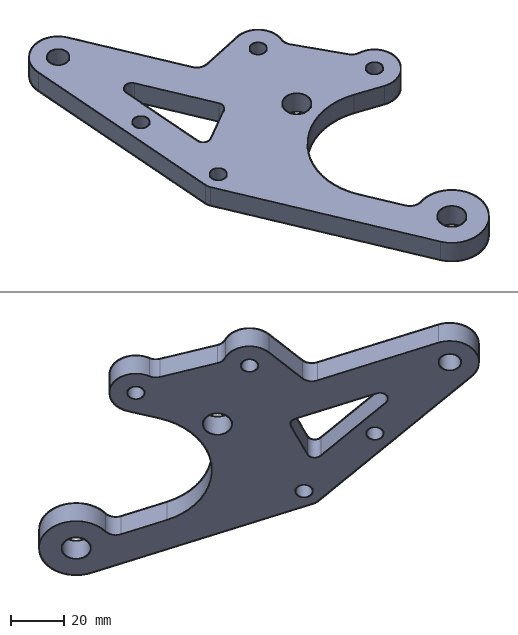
import cadquery as cq
import math

thickness = 10.0

left_boss = (0.0, 0.0)
right_boss = (167.14, -33.07)
upper_left_boss = (70.0, 28.05)
upper_right_boss = (114.85, 31.93)
pivot_hole = (93.0, 5.0)
lower_hole = (76.67, -39.68)
lower_hole_pitch = 40.0

left_radius = 11.0
right_radius = 14.0
upper_radius = 10.0
corner_radius = 5.0
shoulder_fillet = 5.0
web_fillet = 5.0
arm_fillet = 5.0

left_hole_diameter = 8.5
small_hole_diameter = 6.5
large_hole_diameter = 11.0

edge_angle = math.radians(25.0)
rise_angle = math.radians(70.0)
bottom_y = right_boss[1] - right_radius
arm_top_y = right_boss[1]
shoulder_y = left_boss[1] + left_radius
web_offset = 5.0

bay_radius = 28.0
bay_center = (130.05, arm_top_y + bay_radius)

band_width = 15.0
window_right_x = 68.0
window_radius = 3.0

touch_tolerance = 1e-5


def point_at(origin, direction, distance):
    return (origin[0] + distance * direction[0], origin[1] + distance * direction[1])


def belt_tangent(start, end):
    """Contact points of the line running from one roller to the next.

    A roller is (centre, radius): positive turns counter-clockwise, negative clockwise.
    """
    (start_center, start_radius), (end_center, end_radius) = start, end
    dx = end_center[0] - start_center[0]
    dy = end_center[1] - start_center[1]
    ratio = (start_radius - end_radius) / math.hypot(dx, dy)
    ratio = max(-1.0, min(1.0, ratio))
    angle = math.atan2(dy, dx) - math.acos(ratio)
    normal = (math.cos(angle), math.sin(angle))
    return point_at(start_center, normal, start_radius), point_at(end_center, normal, end_radius)


def arc_middle(roller, start, end):
    """Middle point of the arc on a roller, in its turning direction."""
    center, radius = roller
    start_angle = math.atan2(start[1] - center[1], start[0] - center[0])
    end_angle = math.atan2(end[1] - center[1], end[0] - center[0])
    turn = math.copysign(1.0, radius)
    sweep = turn * (end_angle - start_angle) % (2 * math.pi)
    angle = start_angle + turn * sweep / 2
    return point_at(center, (math.cos(angle), math.sin(angle)), abs(radius))


def belt_plate(rollers):
    """Plate bounded by a belt around the rollers, taken counter-clockwise."""
    following = rollers[1:] + rollers[:1]
    tangents = [belt_tangent(a, b) for a, b in zip(rollers, following)]
    position = tangents[-1][1]
    outline = cq.Workplane("XY").moveTo(*position)
    for roller, (leave, arrive) in zip(rollers, tangents):
        outline = outline.threePointArc(arc_middle(roller, position, leave), leave)
        if math.dist(leave, arrive) > touch_tolerance:
            outline = outline.lineTo(*arrive)
            position = arrive
        else:
            position = leave
    return outline.close().extrude(thickness)


def boss_fillet(boss, boss_radius, direction, normal, line_offset, fillet_radius):
    """Roller blending a boss into a straight edge leaving it along a unit direction.

    The edge lies line_offset from the boss centre along the normal, the fillet beyond it.
    """
    across = line_offset + fillet_radius
    along = math.sqrt((boss_radius + fillet_radius) ** 2 - across**2)
    center = point_at(point_at(boss, normal, across), direction, along)
    return center, -fillet_radius


def bottom_corner():
    """Roller rounding the corner of the sloping edge and the bottom edge."""
    y = bottom_y + corner_radius
    edge_reach = left_radius - corner_radius
    x = -(edge_reach + y * math.cos(edge_angle)) / math.sin(edge_angle)
    return (x, y), corner_radius


def shoulder_roller():
    """Fillet between the level shoulder and the edge rising to the upper left boss."""
    y = shoulder_y + shoulder_fillet
    drop = upper_left_boss[1] - y
    gap = upper_radius + shoulder_fillet
    x = upper_left_boss[0] - (gap + drop * math.cos(rise_angle)) / math.sin(rise_angle)
    return (x, y), -shoulder_fillet


def web_directions():
    """Unit direction from the upper left to the upper right boss, its reverse and its normal."""
    span = math.dist(upper_left_boss, upper_right_boss)
    dx = (upper_right_boss[0] - upper_left_boss[0]) / span
    dy = (upper_right_boss[1] - upper_left_boss[1]) / span
    return (dx, dy), (-dx, -dy), (-dy, dx)


def make_plate():
    forward, backward, outward = web_directions()
    return belt_plate([
        bottom_corner(),
        (right_boss, right_radius),
        boss_fillet(right_boss, right_radius, (-1, 0), (0, 1), arm_top_y - right_boss[1], arm_fillet),
        (bay_center, -bay_radius),
        (upper_right_boss, upper_radius),
        boss_fillet(upper_right_boss, upper_radius, backward, outward, web_offset, web_fillet),
        boss_fillet(upper_left_boss, upper_radius, forward, outward, web_offset, web_fillet),
        (upper_left_boss, upper_radius),
        shoulder_roller(),
        (left_boss, left_radius),
    ])


def make_window():
    top_y = shoulder_y - band_width - window_radius
    right_x = window_right_x - window_radius
    edge_reach = left_radius - band_width - window_radius
    tip_x = -(edge_reach + top_y * math.cos(edge_angle)) / math.sin(edge_angle)
    low_y = -(edge_reach + right_x * math.sin(edge_angle)) / math.cos(edge_angle)
    corners = [(tip_x, top_y), (right_x, low_y), (right_x, top_y)]
    return belt_plate([(corner, window_radius) for corner in corners])


def make_holes(centers, diameter):
    return cq.Workplane("XY").pushPoints(centers).circle(diameter / 2).extrude(thickness)


slope_hole = point_at(lower_hole, (-math.cos(edge_angle), math.sin(edge_angle)), lower_hole_pitch)
small_holes = [upper_left_boss, upper_right_boss, lower_hole, slope_hole]

result = (
    make_plate()
    .cut(make_window())
    .cut(make_holes([left_boss], left_hole_diameter))
    .cut(make_holes(small_holes, small_hole_diameter))
    .cut(make_holes([pivot_hole, right_boss], large_hole_diameter))
)